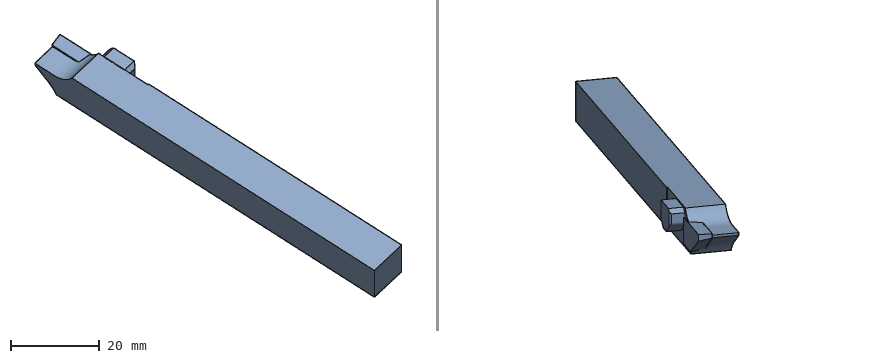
import cadquery as cq

LENGTH = 100.0
HEIGHT = 9.5
WIDTH = 9.7

NOSE_X = 0.6
SEAT_Z = 6.4
LIP_Z = 5.8
SEAT_END_X = 6.1
SHOULDER_X = 11.5
RELIEF_START = (4.5, 2.8)
RELIEF_MIDDLE = (5.9, 1.5)
HEEL_X = 6.9

RECESS_END_X = 26.0
RECESS_DEPTH = 0.25

INSERT_WIDTH = 3.4
INSERT_BACK_X = 12.0
INSERT_TOP_Z = 7.1
INSERT_EDGE_Z = 5.5
INSERT_FOOT = (6.5, 0.7)
INSERT_TIP_TAPER = 0.4
INSERT_THINNING = 0.3

BLOCK_FRONT_X = 12.0
BLOCK_LENGTH = 8.0
BLOCK_OUTER_Y = 13.0
BLOCK_TOP_Z = 9.2
BLOCK_BOTTOM_Z = 3.1
BLOCK_CHAMFER = 1.0
BLOCK_LOWER_CORNER_Z = 5.6
BLOCK_LOWER_RUN = 2.6
BLOCK_LOWER_RADIUS = 1.0
BLOCK_FRONT_BEVEL = 0.4
BLOCK_BACK_BEVEL = 0.9


def make_holder():
    """Square shank with a hollow throat above the nose and a hollow relief below."""
    return (
        cq.Workplane("XZ")
        .moveTo(NOSE_X, LIP_Z)
        .lineTo(NOSE_X, SEAT_Z)
        .lineTo(SEAT_END_X, SEAT_Z)
        .tangentArcPoint((SHOULDER_X, HEIGHT), relative=False)
        .lineTo(LENGTH, HEIGHT)
        .lineTo(LENGTH, 0)
        .lineTo(HEEL_X, 0)
        .threePointArc(RELIEF_MIDDLE, RELIEF_START)
        .close()
        .extrude(-WIDTH)
    )


def make_side_recess():
    return cq.Workplane("XY").box(RECESS_END_X, RECESS_DEPTH, HEIGHT, centered=False).translate(
        (0, WIDTH - RECESS_DEPTH, 0)
    )


def insert_outline(tip_x, thinning):
    foot_x, foot_z = INSERT_FOOT
    top_z = INSERT_TOP_Z - thinning
    return [
        (tip_x, top_z),
        (tip_x, INSERT_EDGE_Z + thinning),
        (foot_x, foot_z + thinning),
        (INSERT_BACK_X, foot_z + thinning),
        (INSERT_BACK_X, top_z),
    ]


def make_insert():
    """Insert lofted from its smaller inner side to its larger outer side."""
    return (
        cq.Workplane("XZ", origin=(0, WIDTH - INSERT_WIDTH, 0))
        .polyline(insert_outline(INSERT_TIP_TAPER, INSERT_THINNING))
        .close()
        .workplane(offset=-INSERT_WIDTH)
        .polyline(insert_outline(0, 0))
        .close()
        .loft(ruled=True)
    )


def make_clamp_block():
    """Block with bevelled corners, rooted inside the holder."""
    back_x = BLOCK_FRONT_X + BLOCK_LENGTH
    root_y = WIDTH - 2 * RECESS_DEPTH
    lower_corner = (BLOCK_FRONT_X, (root_y + BLOCK_OUTER_Y) / 2, BLOCK_LOWER_CORNER_Z)
    side = (
        cq.Workplane("XZ", origin=(0, root_y, 0))
        .polyline(
            [
                (BLOCK_FRONT_X, BLOCK_LOWER_CORNER_Z),
                (BLOCK_FRONT_X, BLOCK_TOP_Z - BLOCK_CHAMFER),
                (BLOCK_FRONT_X + BLOCK_CHAMFER, BLOCK_TOP_Z),
                (back_x - BLOCK_CHAMFER, BLOCK_TOP_Z),
                (back_x, BLOCK_TOP_Z - BLOCK_CHAMFER),
                (back_x, BLOCK_LOWER_CORNER_Z),
                (back_x - BLOCK_LOWER_RUN, BLOCK_BOTTOM_Z),
                (BLOCK_FRONT_X + BLOCK_LOWER_RUN, BLOCK_BOTTOM_Z),
            ]
        )
        .close()
        .extrude(root_y - BLOCK_OUTER_Y)
        .edges(cq.selectors.NearestToPointSelector(lower_corner))
        .fillet(BLOCK_LOWER_RADIUS)
    )
    plan = (
        cq.Workplane("XY")
        .polyline(
            [
                (BLOCK_FRONT_X, root_y),
                (BLOCK_FRONT_X, BLOCK_OUTER_Y - BLOCK_FRONT_BEVEL),
                (BLOCK_FRONT_X + BLOCK_FRONT_BEVEL, BLOCK_OUTER_Y),
                (back_x - BLOCK_BACK_BEVEL, BLOCK_OUTER_Y),
                (back_x, BLOCK_OUTER_Y - BLOCK_BACK_BEVEL),
                (back_x, root_y),
            ]
        )
        .close()
        .extrude(HEIGHT)
    )
    return side.intersect(plan)


result = make_holder().cut(make_side_recess()).union(make_insert()).union(make_clamp_block())